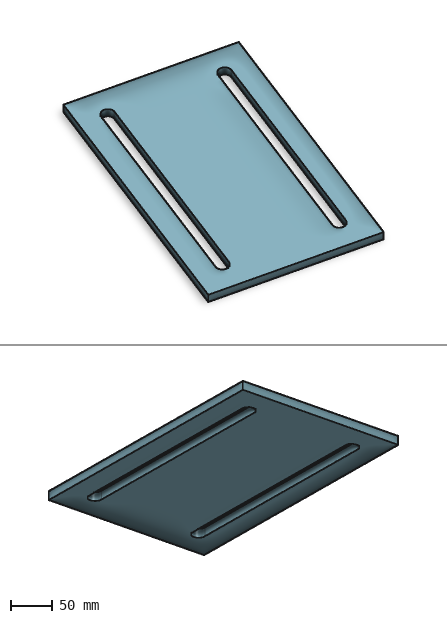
import cadquery as cq

plate_length = 380.0
plate_width = 240.0
plate_thickness = 12.0

slot_width = 18.2
slot_end_spacing = 300.0
slot_length = slot_end_spacing + slot_width
slot_spacing = 160.0

plate = cq.Workplane("XY").box(plate_length, plate_width, plate_thickness)

result = (
    plate.faces(">Z")
    .workplane()
    .rarray(3.8, slot_spacing, 1, 2)
    .slot2D(slot_length, slot_width)
    .cutThruAll()
)